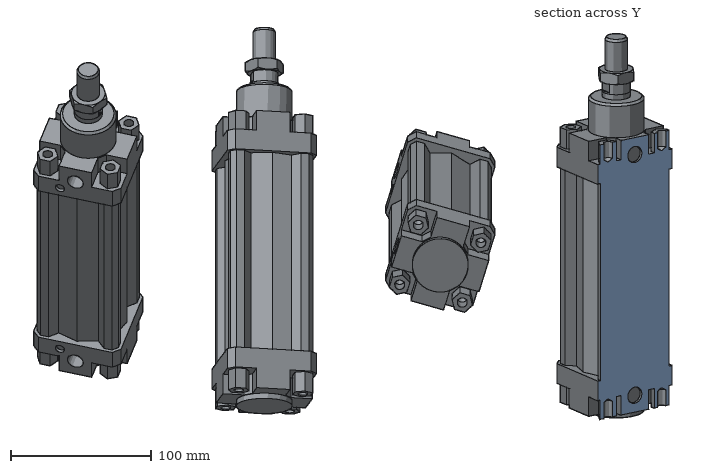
import cadquery as cq
import math

TOTAL_LENGTH = 279.0
SPIGOT_HEIGHT = 4.0
CAP_HEIGHT = 29.3
CAP_RELIEF_DEPTH = 14.5
FRONT_CAP_TOP = 209.5
COLLAR_HEIGHT = 25.0

CAP_SIDE = 65.0
CAP_CHAMFER = 5.0
CROSS_WIDTH = 24.3
CROSS_WEB = 5.0
COLLAR_DIAMETER = 40.0
COLLAR_CHAMFER = 1.7
ROD_SEAT_HEIGHT = 4.0

BARREL_HALF_SIDE = 30.0
BARREL_CORNER_CHAMFER = 3.5
POST_INNER = 20.6
GROOVE_DEPTH = 5.9
BARREL_CREST = 28.7

NUT_PITCH = 46.5
TIE_NUT_ACROSS_FLATS = 13.0
MOUNT_HOLE_DIAMETER = 7.0
MOUNT_HOLE_DEPTH = 12.0
DRILL_POINT_ANGLE = 118.0

PORT_DIAMETER = 11.7
PORT_DEPTH = 11.2
PORT_OFFSET = 12.8
SCREW_DIAMETER = 6.7
SCREW_DEPTH = 2.5
SCREW_OFFSET = 22.0
SCREW_X = -11.5

ROD_DIAMETER = 20.0
ROD_FLATS = 17.9
FLATS_BOTTOM = 239.7
THREAD_DIAMETER = 16.2
THREAD_CHAMFER_HEIGHT = 2.0
THREAD_CHAMFER_WIDTH = 1.0
LOCK_NUT_BOTTOM = 246.5
LOCK_NUT_HEIGHT = 8.5
LOCK_NUT_ACROSS_FLATS = 24.0
LOCK_NUT_CHAMFER_ANGLE = 30.0

BARREL_BOTTOM = SPIGOT_HEIGHT + CAP_HEIGHT
BARREL_TOP = FRONT_CAP_TOP - CAP_HEIGHT
COLLAR_TOP = FRONT_CAP_TOP + COLLAR_HEIGHT
ROD_BOTTOM = COLLAR_TOP + ROD_SEAT_HEIGHT


def across_corners(across_flats):
    return across_flats / math.cos(math.radians(30))


def cap_plate():
    """Chamfered square plate whose inner face lies on Z = 0."""
    plate_height = CAP_HEIGHT - CAP_RELIEF_DEPTH
    plate = cq.Workplane("XY").rect(CAP_SIDE, CAP_SIDE).extrude(plate_height)
    return plate.edges("|Z").chamfer(CAP_CHAMFER)


def raised_cross():
    """Cross with webbed inner corners, through the full height of a cap."""
    cross = cq.Workplane("XY").rect(CAP_SIDE, CROSS_WIDTH).extrude(CAP_HEIGHT)
    cross = cross.union(cq.Workplane("XY").rect(CROSS_WIDTH, CAP_SIDE).extrude(CAP_HEIGHT))
    core_side = CROSS_WIDTH + 2 * CROSS_WEB
    core = cq.Workplane("XY").rect(core_side, core_side).extrude(CAP_HEIGHT)
    return cross.union(core.edges("|Z").chamfer(CROSS_WEB))


def tie_nut():
    """Hexagonal tie-rod nut reaching from the plate to the outer face of the cap."""
    return (
        cq.Workplane("XY")
        .workplane(offset=CAP_HEIGHT - CAP_RELIEF_DEPTH)
        .polygon(6, across_corners(TIE_NUT_ACROSS_FLATS))
        .extrude(CAP_RELIEF_DEPTH)
    )


def mounting_hole():
    """Drilled hole with a conical bottom, open at the outer face of the cap."""
    radius = MOUNT_HOLE_DIAMETER / 2
    point_height = radius / math.tan(math.radians(DRILL_POINT_ANGLE / 2))
    floor = CAP_HEIGHT - MOUNT_HOLE_DEPTH
    return (
        cq.Workplane("XZ")
        .moveTo(0, CAP_HEIGHT)
        .lineTo(radius, CAP_HEIGHT)
        .lineTo(radius, floor)
        .lineTo(0, floor - point_height)
        .close()
        .revolve(360, (0, 0), (0, 1))
    )


def side_hole(diameter, depth, x, offset_from_face):
    """Blind round hole in the -Y face of a cap."""
    return (
        cq.Workplane("XZ", origin=(0, -CAP_SIDE / 2, 0))
        .center(x, CAP_HEIGHT - offset_from_face)
        .circle(diameter / 2)
        .extrude(-depth)
    )


def end_cap():
    """End cap with its inner face on Z = 0 and its outer face upwards."""
    cap = cap_plate().union(raised_cross())
    corner = NUT_PITCH / 2
    for turn in range(4):
        angle = 90 * turn
        nut_body = tie_nut().translate((-corner, -corner, 0)).rotate((0, 0, 0), (0, 0, 1), angle)
        hole = mounting_hole().translate((-corner, -corner, 0)).rotate((0, 0, 0), (0, 0, 1), angle)
        cap = cap.union(nut_body).cut(hole)
    cap = cap.cut(side_hole(PORT_DIAMETER, PORT_DEPTH, 0, PORT_OFFSET))
    return cap.cut(side_hole(SCREW_DIAMETER, SCREW_DEPTH, SCREW_X, SCREW_OFFSET))


def barrel():
    """Four-fold symmetric barrel with corner posts and shallow crested sides."""
    post_end = BARREL_HALF_SIDE - BARREL_CORNER_CHAMFER
    groove_y = POST_INNER - GROOVE_DEPTH
    side = [
        (BARREL_HALF_SIDE, -post_end),
        (BARREL_HALF_SIDE, -POST_INNER),
        (BARREL_HALF_SIDE - GROOVE_DEPTH, -groove_y),
        (BARREL_CREST, 0),
        (BARREL_HALF_SIDE - GROOVE_DEPTH, groove_y),
        (BARREL_HALF_SIDE, POST_INNER),
        (BARREL_HALF_SIDE, post_end),
    ]
    outline = []
    for _ in range(4):
        outline += side
        side = [(-y, x) for x, y in side]
    return (
        cq.Workplane("XY")
        .workplane(offset=BARREL_BOTTOM)
        .polyline(outline)
        .close()
        .extrude(BARREL_TOP - BARREL_BOTTOM)
    )


def cylinder_housing():
    """Barrel, both end caps, guide collar, rod seat and rear spigot as one solid."""
    front_cap = end_cap().translate((0, 0, BARREL_TOP))
    rear_cap = end_cap().mirror("XY").translate((0, 0, BARREL_BOTTOM))
    collar = (
        cq.Workplane("XY")
        .workplane(offset=FRONT_CAP_TOP)
        .circle(COLLAR_DIAMETER / 2)
        .extrude(COLLAR_HEIGHT)
        .faces(">Z")
        .chamfer(COLLAR_CHAMFER)
    )
    spigot = cq.Workplane("XY").circle(COLLAR_DIAMETER / 2).extrude(SPIGOT_HEIGHT)
    rod_seat = (
        cq.Workplane("XY")
        .workplane(offset=COLLAR_TOP)
        .circle(ROD_DIAMETER / 2)
        .extrude(ROD_SEAT_HEIGHT)
    )
    return barrel().union(front_cap).union(rear_cap).union(collar).union(rod_seat).union(spigot)


def piston_rod():
    """Rod standing on its seat, with two wrench flats and a thinner threaded end."""
    rod = (
        cq.Workplane("XY")
        .workplane(offset=ROD_BOTTOM)
        .circle(ROD_DIAMETER / 2)
        .extrude(LOCK_NUT_BOTTOM - ROD_BOTTOM)
    )
    flats = (
        cq.Workplane("XY")
        .workplane(offset=FLATS_BOTTOM)
        .rect(ROD_FLATS, ROD_DIAMETER)
        .extrude(LOCK_NUT_BOTTOM - FLATS_BOTTOM)
    )
    below_flats = (
        cq.Workplane("XY")
        .workplane(offset=ROD_BOTTOM)
        .rect(ROD_DIAMETER, ROD_DIAMETER)
        .extrude(FLATS_BOTTOM - ROD_BOTTOM)
    )
    thread = (
        cq.Workplane("XY")
        .workplane(offset=LOCK_NUT_BOTTOM)
        .circle(THREAD_DIAMETER / 2)
        .extrude(TOTAL_LENGTH - LOCK_NUT_BOTTOM)
        .faces(">Z")
        .chamfer(THREAD_CHAMFER_HEIGHT, THREAD_CHAMFER_WIDTH)
    )
    return rod.intersect(flats.union(below_flats)).union(thread)


def lock_nut():
    """Hexagonal nut with its corners turned to a cone at both ends."""
    corner_radius = across_corners(LOCK_NUT_ACROSS_FLATS) / 2
    flat_radius = LOCK_NUT_ACROSS_FLATS / 2
    cone_height = (corner_radius - flat_radius) * math.tan(math.radians(LOCK_NUT_CHAMFER_ANGLE))
    hexagon = cq.Workplane("XY").polygon(6, 2 * corner_radius).extrude(LOCK_NUT_HEIGHT)
    turned_blank = (
        cq.Workplane("XY")
        .circle(corner_radius)
        .extrude(LOCK_NUT_HEIGHT)
        .faces("|Z")
        .chamfer(cone_height, corner_radius - flat_radius)
    )
    bore = cq.Workplane("XY").circle(THREAD_DIAMETER / 2).extrude(LOCK_NUT_HEIGHT)
    return hexagon.intersect(turned_blank).cut(bore).translate((0, 0, LOCK_NUT_BOTTOM))


housing = cylinder_housing()
rod = piston_rod()
nut = lock_nut()

result = cq.Compound.makeCompound([housing.val(), rod.val(), nut.val()])